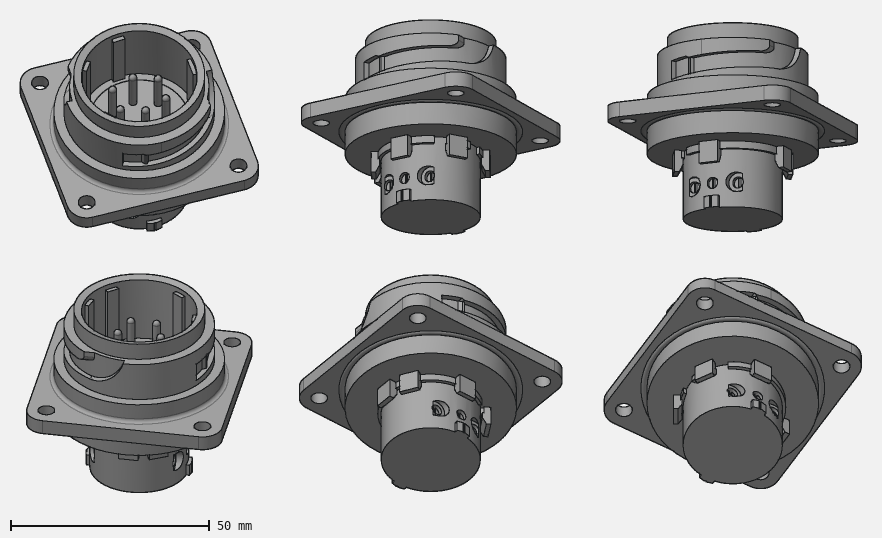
import cadquery as cq
import math

FLANGE_SIZE = 50
FLANGE_CORNER_RADIUS = 5
FLANGE_BOTTOM_Z = 22.95
FLANGE_TOP_Z = 26.8
MOUNT_HOLE_DIA = 4.2
MOUNT_HOLE_PITCH = 40

COLLAR_DIA = 43
COLLAR_TOP_Z = 32
COLLAR_FILLET = 1
LOWER_BODY_DIA = 43.2
LOWER_BODY_BOTTOM_Z = 16.95
SEAL_DIA = 46.3
SEAL_HEIGHT = 0.4
LOCK_RING_DIA = 38
LOCK_RING_TOP_Z = 42.4
RIM_DIA = 33
TOP_Z = 46.9
TAIL_DIA = 25

SOCKET_DIA = 29.1
SOCKET_FLOOR_Z = 28.9
SOCKET_LEAD_IN = 0.55
INSERT_DIA = 25
INSERT_HEIGHT = 0.1
KEY_TOP_Z = 45
KEY_HEIGHT = 1.15
KEY_WIDTH = 3.2
MAIN_KEY_WIDTH = 5.1
MAIN_KEY_ANGLE = 90
KEY_ANGLES = (185, 235, 310, 345)

PIN_DIA = 2
PIN_TOP_Z = 40
PIN_ROW_X = 3.3
PIN_ROW_Y = 6
PIN_SIDE_X = 5.5

GROOVE_ROOT_DIA = 35.1
GROOVE_END_ANGLE = 150
GROOVE_FAR_Y = 11
GROOVE_FAR_FLOOR_Z = 33.35
GROOVE_NEAR_Y = -20
GROOVE_NEAR_FLOOR_Z = 35.45
GROOVE_ENTRY_Y = -15.3
GROOVE_ENTRY_CEILING_Z = 39.25
GROOVE_CORNER_RADIUS = 1.75
POCKET_FAR_CEILING_Z = 38.25
POCKET_NEAR_CEILING_Z = 38.6
CHANNEL_CEILING_Z = 38.15
RAMP_START = (-9.4, 35.15)
RAMP_MIDDLE = (-3.7, 37.5)
RAMP_END_X = -0.5
DETENT_CREST_DIA = 36.7
DETENT_FAR_Y = 4.6
DETENT_CREST_Y = 3.95
DETENT_CREST_END_Y = 3.45
DETENT_NEAR_Y = 2.85

CLIP_ANGLES = (0, 120, 180, 240, 300)
CLIP_WIDTH = 5
CLIP_BOTTOM_Z = 11.4
CLIP_OUTER = 14.95
KEY_CLIP_OUTER = 15.15
KEY_CLIP_ANGLE = 90
CLIP_INNER = 12.8
CLIP_ROOT_INNER = 13.2
CLIP_TIP_INNER = 13.8
CLIP_CHAMFER_TOP_Z = 13.25
SEGMENT_DIA = 26.7
SEGMENT_BOTTOM_Z = 15.05
SEGMENT_GAPS = ((270, 18), (223.5, 15), (316.5, 15))

SCREW_Z = 6.55
SCREW_PITCH = 6.05
SCREW_HOLE_DIA = 2.85
SCREW_HEAD_DEPTH = 1
SCREW_SLOT_WIDTH = 0.7
SCREW_SLOT_DEPTH = 0.5
SPOTFACE_DIA = 5
SPOTFACE_X = 10.15
TAB_OUTER = 13.7
TAB_SHOULDER = 13.2
TAB_WIDTH = 3.9
TAB_HEIGHT = 3
TAB_NOTCH_WIDTH = 0.45
TAB_NOTCH_DEPTH = 0.25


def disc(diameter, bottom_z, top_z):
    return cq.Workplane("XY").workplane(offset=bottom_z).circle(diameter / 2).extrude(top_z - bottom_z)


def radial_block(inner, outer, width, bottom_z, top_z, angle):
    """Upright block reaching from radius inner to outer, turned to an angle about Z."""
    block = cq.Workplane("XY").box(outer - inner, width, top_z - bottom_z, centered=(False, True, False))
    return block.translate((inner, 0, bottom_z)).rotate((0, 0, 0), (0, 0, 1), angle)


def flange():
    plate = cq.Workplane("XY").workplane(offset=FLANGE_BOTTOM_Z).rect(FLANGE_SIZE, FLANGE_SIZE)
    plate = plate.extrude(FLANGE_TOP_Z - FLANGE_BOTTOM_Z).edges("|Z").fillet(FLANGE_CORNER_RADIUS)
    return (
        plate.faces(">Z").workplane()
        .rect(MOUNT_HOLE_PITCH, MOUNT_HOLE_PITCH, forConstruction=True)
        .vertices().hole(MOUNT_HOLE_DIA)
    )


def turned_body():
    """Stepped profile revolved about Z, with a rounded seal ring bulging under the flange."""
    tail_r = TAIL_DIA / 2
    lower_r = LOWER_BODY_DIA / 2
    seal_r = SEAL_DIA / 2
    collar_r = COLLAR_DIA / 2
    ring_r = LOCK_RING_DIA / 2
    rim_r = RIM_DIA / 2
    fillet_mid = COLLAR_FILLET * (1 - math.sqrt(0.5))
    profile = (
        cq.Workplane("XZ")
        .moveTo(0, 0)
        .lineTo(tail_r, 0)
        .lineTo(tail_r, LOWER_BODY_BOTTOM_Z)
        .lineTo(lower_r, LOWER_BODY_BOTTOM_Z)
        .lineTo(lower_r, FLANGE_BOTTOM_Z)
        .threePointArc(((lower_r + seal_r) / 2, FLANGE_BOTTOM_Z - SEAL_HEIGHT), (seal_r, FLANGE_BOTTOM_Z))
        .lineTo(seal_r, FLANGE_TOP_Z)
        .lineTo(collar_r + COLLAR_FILLET, FLANGE_TOP_Z)
        .threePointArc((collar_r + fillet_mid, FLANGE_TOP_Z + fillet_mid),
                       (collar_r, FLANGE_TOP_Z + COLLAR_FILLET))
        .lineTo(collar_r, COLLAR_TOP_Z)
        .lineTo(ring_r, COLLAR_TOP_Z)
        .lineTo(ring_r, LOCK_RING_TOP_Z)
        .lineTo(rim_r, LOCK_RING_TOP_Z)
        .lineTo(rim_r, TOP_Z)
        .lineTo(0, TOP_Z)
        .close()
    )
    return profile.revolve(360, (0, 0, 0), (0, 1, 0))


def socket_cavity():
    """Bore with a conical lead-in, leaving the contact insert slightly proud of the floor."""
    socket_r = SOCKET_DIA / 2
    insert_r = INSERT_DIA / 2
    profile = cq.Workplane("XZ").polyline([
        (0, SOCKET_FLOOR_Z + INSERT_HEIGHT),
        (insert_r, SOCKET_FLOOR_Z + INSERT_HEIGHT),
        (insert_r, SOCKET_FLOOR_Z),
        (socket_r, SOCKET_FLOOR_Z),
        (socket_r, TOP_Z - SOCKET_LEAD_IN),
        (RIM_DIA / 2, TOP_Z),
        (0, TOP_Z),
    ]).close()
    return profile.revolve(360, (0, 0, 0), (0, 1, 0))


def socket_key(angle, width):
    """Polarizing rib on the socket wall."""
    socket_r = SOCKET_DIA / 2
    embed = 0.5
    return radial_block(socket_r - KEY_HEIGHT, socket_r + embed, width, SOCKET_FLOOR_Z, KEY_TOP_Z, angle)


def contact_pin(x, y):
    """Round contact with a hemispherical tip, rooted in the insert."""
    embed = 1
    length = PIN_TOP_Z - SOCKET_FLOOR_Z + embed
    pin = cq.Workplane("XY").circle(PIN_DIA / 2).extrude(length - PIN_DIA / 2)
    pin = pin.union(cq.Workplane("XY").sphere(PIN_DIA / 2).translate((0, 0, length - PIN_DIA / 2)))
    return pin.translate((x, y, SOCKET_FLOOR_Z - embed))


def bayonet_groove():
    """Sloping groove on the -X side that opens upward at its -Y end."""
    reach = LOCK_RING_DIA
    height = LOCK_RING_TOP_Z - COLLAR_TOP_Z
    clearance = 1
    annulus = disc(LOCK_RING_DIA + clearance, COLLAR_TOP_Z, LOCK_RING_TOP_Z)
    annulus = annulus.cut(disc(GROOVE_ROOT_DIA, COLLAR_TOP_Z, LOCK_RING_TOP_Z))

    channel = (
        cq.Workplane("YZ")
        .moveTo(GROOVE_FAR_Y, GROOVE_FAR_FLOOR_Z)
        .lineTo(GROOVE_NEAR_Y, GROOVE_NEAR_FLOOR_Z)
        .lineTo(GROOVE_NEAR_Y, LOCK_RING_TOP_Z)
        .lineTo(GROOVE_ENTRY_Y, LOCK_RING_TOP_Z)
        .lineTo(GROOVE_ENTRY_Y, GROOVE_ENTRY_CEILING_Z + GROOVE_CORNER_RADIUS)
        .radiusArc((GROOVE_ENTRY_Y + GROOVE_CORNER_RADIUS, GROOVE_ENTRY_CEILING_Z), -GROOVE_CORNER_RADIUS)
        .lineTo(DETENT_CREST_Y, CHANNEL_CEILING_Z)
        .lineTo(DETENT_FAR_Y, POCKET_NEAR_CEILING_Z)
        .lineTo(GROOVE_FAR_Y, POCKET_FAR_CEILING_Z)
        .close()
        .extrude(-reach)
    )
    mouth = (
        cq.Workplane("XZ")
        .moveTo(-reach, COLLAR_TOP_Z)
        .lineTo(RAMP_START[0], COLLAR_TOP_Z)
        .lineTo(*RAMP_START)
        .threePointArc(RAMP_MIDDLE, (RAMP_END_X, LOCK_RING_TOP_Z))
        .lineTo(-reach, LOCK_RING_TOP_Z)
        .close()
        .extrude(reach, both=True)
    )
    end_direction = math.radians(GROOVE_END_ANGLE)
    sector = (
        cq.Workplane("XY")
        .workplane(offset=COLLAR_TOP_Z)
        .lineTo(reach * math.cos(end_direction), reach * math.sin(end_direction))
        .lineTo(-reach, -reach)
        .lineTo(0, -reach)
        .close()
        .extrude(height)
    )
    return annulus.intersect(channel).intersect(mouth).intersect(sector).cut(detent_rib(height))


def detent_rib(height):
    """Upright rib across the channel, with a flat crest between two sloping flanks."""
    root_r = GROOVE_ROOT_DIA / 2
    crest_r = DETENT_CREST_DIA / 2
    inner_x = -root_r / 2
    corners = [
        (-math.sqrt(radius ** 2 - y ** 2), y)
        for radius, y in (
            (root_r, DETENT_FAR_Y),
            (crest_r, DETENT_CREST_Y),
            (crest_r, DETENT_CREST_END_Y),
            (root_r, DETENT_NEAR_Y),
        )
    ]
    outline = corners + [(inner_x, DETENT_NEAR_Y), (inner_x, DETENT_FAR_Y)]
    return cq.Workplane("XY").workplane(offset=COLLAR_TOP_Z).polyline(outline).close().extrude(height)


def clip(angle, outer):
    """Hanging clip, stepped around the collar segments and chamfered inside its tip."""
    embed = 0.5
    profile = cq.Workplane("XZ").polyline([
        (outer, LOWER_BODY_BOTTOM_Z + embed),
        (outer, CLIP_BOTTOM_Z),
        (CLIP_TIP_INNER, CLIP_BOTTOM_Z),
        (CLIP_INNER, CLIP_CHAMFER_TOP_Z),
        (CLIP_INNER, SEGMENT_BOTTOM_Z),
        (CLIP_ROOT_INNER, SEGMENT_BOTTOM_Z),
        (CLIP_ROOT_INNER, LOWER_BODY_BOTTOM_Z + embed),
    ]).close()
    return profile.extrude(CLIP_WIDTH / 2, both=True).rotate((0, 0, 0), (0, 0, 1), angle)


def collar_segments():
    """Ring under the lower body, broken by radial gaps."""
    ring = disc(SEGMENT_DIA, SEGMENT_BOTTOM_Z, LOWER_BODY_BOTTOM_Z)
    for angle, spread in SEGMENT_GAPS:
        width = SEGMENT_DIA * math.sin(math.radians(spread / 2))
        gap = radial_block(TAIL_DIA / 4, SEGMENT_DIA, width, SEGMENT_BOTTOM_Z, LOWER_BODY_BOTTOM_Z, angle)
        ring = ring.cut(gap)
    return ring


def x_cylinder(diameter, y, start_x, end_x):
    """Cylinder along X at screw height."""
    section = cq.Workplane("YZ").workplane(offset=start_x).center(y, SCREW_Z).circle(diameter / 2)
    return section.extrude(end_x - start_x)


def screw_recess(y, face_x):
    """Space above one slotted screw whose hole starts at face_x on the +X side."""
    head_x = face_x - SCREW_HEAD_DEPTH
    hole = x_cylinder(SCREW_HOLE_DIA, y, head_x, TAIL_DIA)
    slot = cq.Workplane("XY").box(2 * SCREW_SLOT_DEPTH, SCREW_SLOT_WIDTH, SCREW_HOLE_DIA)
    slot = slot.translate((head_x, y, SCREW_Z))
    return hole.union(slot.intersect(x_cylinder(SCREW_HOLE_DIA, y, head_x - SCREW_SLOT_DEPTH, TAIL_DIA)))


def screw_recesses():
    """Three screws on the +X side; the outer two sit in flat spotfaces."""
    recesses = screw_recess(0, TAIL_DIA / 2)
    for y in (-SCREW_PITCH, SCREW_PITCH):
        recesses = recesses.union(x_cylinder(SPOTFACE_DIA, y, SPOTFACE_X, TAIL_DIA))
        recesses = recesses.union(screw_recess(y, SPOTFACE_X))
    return recesses


def tail_tab(angle):
    """Foot tab with two slanted outer faces and an upright notch between them."""
    half_width = TAB_WIDTH / 2
    inner = TAIL_DIA / 4
    tab = cq.Workplane("XY").polyline([
        (inner, -half_width),
        (TAB_SHOULDER, -half_width),
        (TAB_OUTER, 0),
        (TAB_SHOULDER, half_width),
        (inner, half_width),
    ]).close().extrude(TAB_HEIGHT).rotate((0, 0, 0), (0, 0, 1), angle)
    notch = radial_block(TAB_OUTER - TAB_NOTCH_DEPTH, TAB_OUTER, TAB_NOTCH_WIDTH, 0, TAB_HEIGHT, angle)
    return tab.cut(notch)


def half_turn(shape):
    return shape.rotate((0, 0, 0), (0, 0, 1), 180)


result = turned_body().union(flange()).cut(socket_cavity())

result = result.union(socket_key(MAIN_KEY_ANGLE, MAIN_KEY_WIDTH))
for key_angle in KEY_ANGLES:
    result = result.union(socket_key(key_angle, KEY_WIDTH))
for side in (-1, 1):
    result = result.union(contact_pin(side * PIN_SIDE_X, 0))
    for pin_y in (-PIN_ROW_Y, PIN_ROW_Y):
        result = result.union(contact_pin(side * PIN_ROW_X, pin_y))

groove = bayonet_groove()
result = result.cut(groove).cut(half_turn(groove))

result = result.union(collar_segments())
for clip_angle in CLIP_ANGLES:
    result = result.union(clip(clip_angle, CLIP_OUTER))
result = result.union(clip(KEY_CLIP_ANGLE, KEY_CLIP_OUTER))

recesses = screw_recesses()
result = result.cut(recesses).cut(half_turn(recesses))
for tab_angle in (0, 180):
    result = result.union(tail_tab(tab_angle))